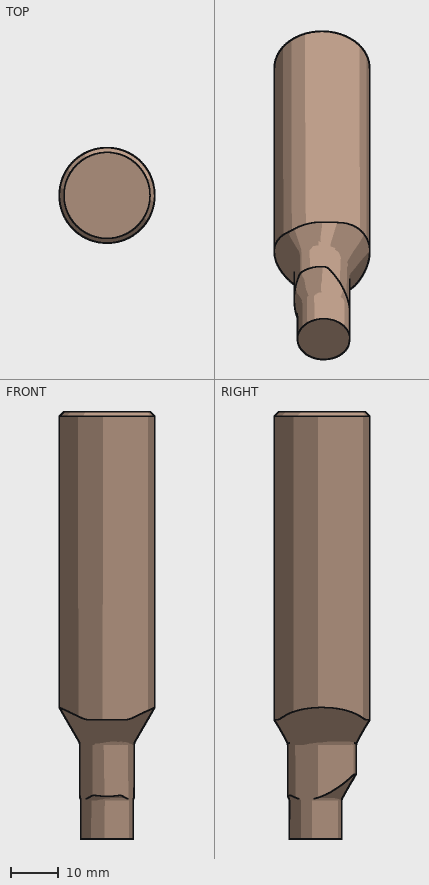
import cadquery as cq
import math

total_length = 89.4
shank_radius = 10.0
end_chamfer = 1.0

neck_half_width = 5.7
neck_half_depth = 7.2
neck_corner_radius = 2.0
neck_side_radius = 9.2
flare_start = 20.1
flare_blend_radius = 1.5

tip_radius = 5.5
tip_center_y = -1.35
tip_length = 8.37
tip_blend_radius = 1.0

taper_angle = 30.0
taper_slope = math.tan(math.radians(taper_angle))

flare_margin = 1.0
flare_height = (shank_radius - neck_half_width) / taper_slope + flare_margin
flare_top = flare_start + flare_height

height_tolerance = 0.01


def blend_edges_at(body, height, radius):
    """Fillet every edge that lies at the given height."""
    reach = 2 * shank_radius
    level = cq.selectors.BoxSelector(
        (-reach, -reach, height - height_tolerance),
        (reach, reach, height + height_tolerance),
    )
    return body.edges(level).fillet(radius)


def make_shank():
    shank = cq.Workplane("XY").circle(shank_radius).extrude(total_length)
    return shank.faces(">Z").chamfer(end_chamfer)


def neck_outline(plane, spread):
    """Two bulging sides and two round ends joined by tangent corner arcs, all offset outward by spread."""
    side_center_x = neck_half_width - neck_side_radius
    end_reach = neck_half_depth - neck_corner_radius
    side_reach = neck_side_radius - neck_corner_radius
    corner_x = (end_reach**2 - side_reach**2 + side_center_x**2) / (2 * side_center_x)
    corner_y = math.sqrt(end_reach**2 - corner_x**2)

    side_angle = math.atan2(corner_y, corner_x - side_center_x)
    end_angle = math.atan2(corner_y, corner_x)
    middle_angle = (side_angle + end_angle) / 2

    def corner_point(angle, x_sign, y_sign):
        radius = neck_corner_radius + spread
        x = corner_x + radius * math.cos(angle)
        y = corner_y + radius * math.sin(angle)
        return (x_sign * x, y_sign * y)

    half_width = neck_half_width + spread
    half_depth = neck_half_depth + spread
    outline = plane.moveTo(*corner_point(side_angle, 1, -1))
    for sign in (1, -1):
        outline = (
            outline
            .threePointArc((sign * half_width, 0), corner_point(side_angle, sign, sign))
            .threePointArc(corner_point(middle_angle, sign, sign), corner_point(end_angle, sign, sign))
            .threePointArc((0, sign * half_depth), corner_point(end_angle, -sign, sign))
            .threePointArc(corner_point(middle_angle, -sign, sign), corner_point(side_angle, -sign, sign))
        )
    return outline.close()


def make_neck():
    """Straight neck whose section spreads evenly outward above flare_start."""
    straight = neck_outline(cq.Workplane("XY"), 0).extrude(flare_start)
    flare_base = neck_outline(cq.Workplane("XY").workplane(offset=flare_start), 0)
    flare = neck_outline(flare_base.workplane(offset=flare_height), flare_height * taper_slope)
    neck = straight.union(flare.loft(ruled=True))
    return blend_edges_at(neck, flare_start, flare_blend_radius)


def make_tip():
    """Pin that opens into a cone, both about the tip axis."""
    cone_top_radius = tip_radius + (flare_top - tip_length) * taper_slope
    profile = (
        cq.Workplane("YZ")
        .lineTo(tip_radius, 0)
        .lineTo(tip_radius, tip_length)
        .lineTo(cone_top_radius, flare_top)
        .lineTo(0, flare_top)
        .close()
    )
    tip = profile.revolve(360, (0, 0, 0), (0, 1, 0))
    tip = blend_edges_at(tip, tip_length, tip_blend_radius)
    return tip.translate((0, tip_center_y, 0))


def make_lower_end(shank):
    """Neck and tip trimmed by each other, and by the shank at the flare."""
    return shank.intersect(make_neck()).intersect(make_tip())


def make_upper_end(shank):
    """Shank above the top of the flare."""
    below = cq.Workplane("XY").circle(2 * shank_radius).extrude(flare_top)
    return shank.cut(below)


full_shank = make_shank()
result = make_lower_end(full_shank).union(make_upper_end(full_shank), clean=True)